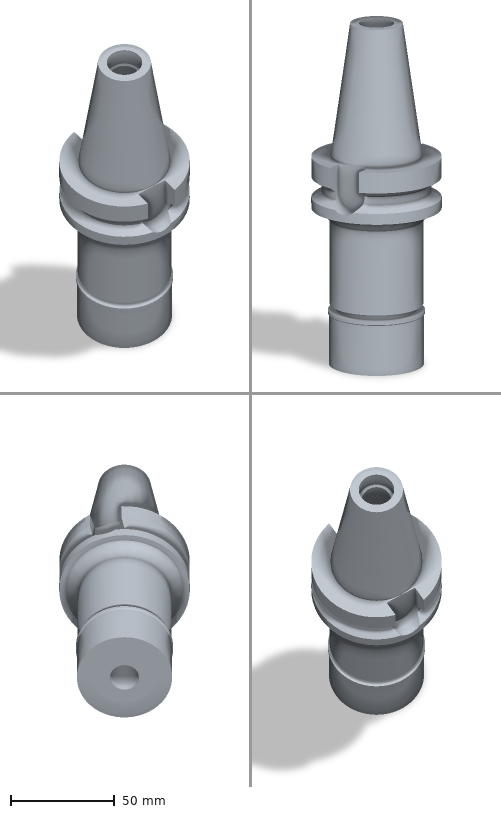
import cadquery as cq

total_length = 170.4
taper_length = 65.5
flange_start = 66.5
upper_flange_end = 76.7
groove_start = 79.7
groove_end = 84.0
lower_flange_start = 86.9
lower_flange_end = 92.4
back_cone_height = 5.8
body_end = 140.2
ring_start = 143.3
ring_end = 145.4

taper_small_radius = 12.8
taper_large_radius = 22.2
flange_radius = 31.5
groove_radius = 26.5
body_radius = 22.7
neck_radius = 19.5
back_cone_radius = body_radius + back_cone_height

bore_radius = 7.0
counterbore_radius = 8.5
counterbore_depth = 9.0

slot_width = 16.0
slot_depth = 22.3
slot_floor_x = 22.3

ring_radius = 23.5
nut_radius = 23.0
ring_chamfer = ring_radius - nut_radius


def height(depth):
    """Z of a level given its depth below the small end of the taper."""
    return total_length - depth


def tube(outer_radius, start_depth, end_depth):
    """Bored cylinder between two depths."""
    return (
        cq.Workplane("XY")
        .workplane(offset=height(end_depth))
        .circle(outer_radius)
        .circle(bore_radius)
        .extrude(end_depth - start_depth)
    )


def drive_slot():
    """Cutter for the round-ended drive slot on the +X side."""
    slot_radius = slot_width / 2
    arc_center_z = height(flange_start + slot_depth - slot_radius)
    return (
        cq.Workplane("YZ")
        .workplane(offset=slot_floor_x)
        .moveTo(-slot_radius, height(flange_start))
        .lineTo(-slot_radius, arc_center_z)
        .threePointArc((0, arc_center_z - slot_radius), (slot_radius, arc_center_z))
        .lineTo(slot_radius, height(flange_start))
        .close()
        .extrude(flange_radius)
    )


def make_holder():
    """Tapered shank, grooved flange, cylindrical body and neck."""
    profile = [
        (bore_radius, height(ring_start)),
        (bore_radius, height(counterbore_depth)),
        (counterbore_radius, height(counterbore_depth)),
        (counterbore_radius, height(0)),
        (taper_small_radius, height(0)),
        (taper_large_radius, height(taper_length)),
        (taper_large_radius, height(flange_start)),
        (flange_radius, height(flange_start)),
        (flange_radius, height(upper_flange_end)),
        (groove_radius, height(groove_start)),
        (groove_radius, height(groove_end)),
        (flange_radius, height(lower_flange_start)),
        (flange_radius, height(lower_flange_end)),
        (back_cone_radius, height(lower_flange_end)),
        (body_radius, height(lower_flange_end + back_cone_height)),
        (body_radius, height(body_end)),
        (neck_radius, height(body_end)),
        (neck_radius, height(ring_start)),
    ]
    holder = cq.Workplane("XZ").polyline(profile).close().revolve(360, (0, 0, 0), (0, 1, 0))
    for angle in (0, 180):
        holder = holder.cut(drive_slot().rotate((0, 0, 0), (0, 0, 1), angle))
    return holder


def make_ring():
    """Thin ring between the neck and the nut, chamfered along its lower outer edge."""
    ring = tube(ring_radius, ring_start, ring_end)
    outer_edge = cq.selectors.RadiusNthSelector(-1)
    return ring.faces("<Z").edges(outer_edge).chamfer(ring_chamfer)


def make_nut():
    """Plain cylindrical clamping nut."""
    return tube(nut_radius, ring_end, total_length)


holder = make_holder()
ring = make_ring()
nut = make_nut()

result = cq.Compound.makeCompound([holder.val(), ring.val(), nut.val()])